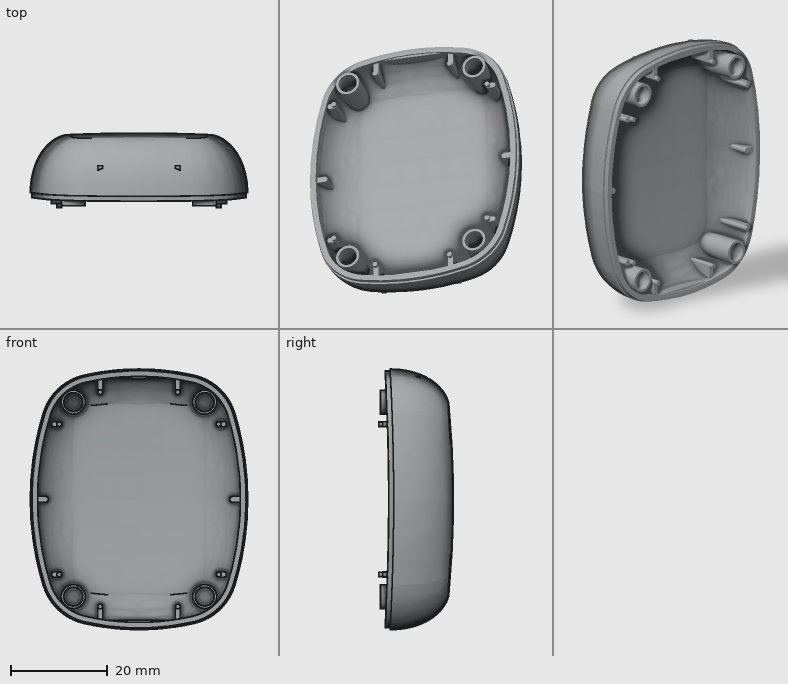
import cadquery as cq
import math


HALF_WIDTH = 44.86 / 2
HALF_HEIGHT = 53.77 / 2
SIDE_RADIUS = 60.0
END_RADIUS = 50.5
CORNER_RADIUS = 11.6

OUTER_SHOULDER_WIDTH = 8.5
INNER_SHOULDER_WIDTH = 9.6
CROWN_OVERLAP = 0.03
CORE_OVERLAP = 0.3
WALL_FOOT_DEPTH = 12.3
WALL = 1.5
FLOOR = 5.6

CROWN_RADIUS_X = 327.0
CROWN_RADIUS_Z = 207.0

RIM_DEPTH = 12.3
RIM_RADIUS = 480.0
LIP_HEIGHT = 1.05
LIP_STEP = 0.35

PAD_HALF_SPACING = 24.95
PAD_HALF_WIDTH = 6.0
PAD_DROP = 0.4

BOSS_X = 13.55
BOSS_Z = 20.05
BOSS_DIAMETER = 4.95
BOSS_BORE = 3.9
BOSS_END_DEPTH = 15.05

TOTAL_DEPTH = 15.4
SIDE_RIB_Z = 15.5
SIDE_RIB_WIDTH = 1.1
SIDE_RIB_OUTER_X = 18.05
SIDE_PIN_X = 16.45
SIDE_PIN_DIAMETER = 1.0
SIDE_RIB_END_DEPTH = 14.55

END_RIB_X = 8.0
END_RIB_WIDTH = 1.0
END_POST_Z = 22.1
END_POST_DEPTH = 14.0
END_WEB_DEPTH = 13.2

MIDDLE_RIB_WIDTH = 1.2
MIDDLE_RIB_TIP_X = 18.7
MIDDLE_RIB_END_DEPTH = 12.3

ROOT_DEPTH = 6.8

TOOL_DEPTH = 20.0


def at_depth(depth):
    """Workplane in XZ at a depth, extruding towards -Y."""
    return cq.Workplane("XZ", origin=(0, -depth, 0))


def quarter_outline(inset, depth=0):
    """Quarter of the oval rim outline, from its +X tip to its +Z tip, moved inwards by inset."""
    side_radius = SIDE_RADIUS - inset
    end_radius = END_RADIUS - inset
    corner_radius = CORNER_RADIUS - inset
    side_center = HALF_WIDTH - SIDE_RADIUS
    end_center = HALF_HEIGHT - END_RADIUS

    to_side = SIDE_RADIUS - CORNER_RADIUS
    to_end = END_RADIUS - CORNER_RADIUS
    span = math.hypot(side_center, end_center)
    along = (to_side**2 - to_end**2 + span**2) / (2 * span)
    across = math.sqrt(to_side**2 - along**2)
    unit_x = -side_center / span
    unit_z = end_center / span
    corner_x = side_center + along * unit_x - across * unit_z
    corner_z = along * unit_z + across * unit_x

    side_angle = math.atan2(corner_z, corner_x - side_center)
    end_angle = math.atan2(corner_z - end_center, corner_x)

    def on_side(angle):
        return side_center + side_radius * math.cos(angle), side_radius * math.sin(angle)

    def on_corner(angle):
        return corner_x + corner_radius * math.cos(angle), corner_z + corner_radius * math.sin(angle)

    def on_end(angle):
        return end_radius * math.cos(angle), end_center + end_radius * math.sin(angle)

    return (
        at_depth(depth)
        .moveTo(HALF_WIDTH - inset, 0)
        .threePointArc(on_side(side_angle / 2), on_side(side_angle))
        .threePointArc(on_corner((side_angle + end_angle) / 2), on_corner(end_angle))
        .threePointArc(on_end((end_angle + math.pi / 2) / 2), (0, HALF_HEIGHT - inset))
    )


def mirrored(feature):
    """Copies of a feature in all four quarters of the part."""
    pair = feature.union(feature.mirror("YZ"))
    return pair.union(pair.mirror("XY"))


def quarter_column(inset):
    """Quarter of a straight oval column covering the whole depth."""
    return quarter_outline(inset).lineTo(0, 0).close().extrude(TOOL_DEPTH)


def crown_sag(radius, distance):
    """Drop of a circular arc at a distance from its apex."""
    return radius - math.sqrt(radius**2 - distance**2)


def shoulder_section(plane, shoulder_width, inset, drop, shift):
    """Wall section with an elliptical shoulder, on a plane whose origin is at the shoulder's inner foot."""
    width = shoulder_width - inset
    side_sag = crown_sag(CROWN_RADIUS_X, HALF_WIDTH - shoulder_width)
    height = WALL_FOOT_DEPTH - side_sag - drop + CROWN_OVERLAP
    skirt = TOOL_DEPTH - WALL_FOOT_DEPTH
    return (
        plane.moveTo(0, -skirt)
        .lineTo(width, -skirt)
        .lineTo(width, -shift)
        .ellipseArc(width, height, 0, 90, startAtCurrent=True)
        .close()
    )


def dome(shoulder_width, inset, drop):
    """Solid oval dome with an elliptical shoulder, its wall inset and its crown dropped from the outside."""
    side_foot = HALF_WIDTH - shoulder_width
    end_foot = HALF_HEIGHT - shoulder_width
    end_shift = crown_sag(CROWN_RADIUS_Z, end_foot) - crown_sag(CROWN_RADIUS_X, side_foot)
    side_plane = cq.Workplane("XY", origin=(side_foot, -WALL_FOOT_DEPTH, 0))
    end_plane = cq.Workplane(cq.Plane((0, -WALL_FOOT_DEPTH, end_foot), (0, 0, 1), (-1, 0, 0)))
    side_section = shoulder_section(side_plane, shoulder_width, inset, drop, 0).val()
    end_section = shoulder_section(end_plane, shoulder_width, inset, drop, end_shift).val()
    path = quarter_outline(inset, WALL_FOOT_DEPTH)
    sections = cq.Workplane("XY").newObject([side_section, end_section])
    sections.ctx.pendingWires = [side_section, end_section]
    ring = sections.sweep(path, multisection=True)
    core = quarter_column(shoulder_width - CORE_OVERLAP)
    return mirrored(ring.union(core).intersect(crown_barrel(drop)))


def crown_barrel(drop):
    """Barrel whose skin is the crown surface, moved inwards by drop."""
    half_length = 2 * HALF_WIDTH
    sag = crown_sag(CROWN_RADIUS_X, half_length)
    return (
        cq.Workplane("XY")
        .moveTo(-half_length, -drop - sag)
        .threePointArc((0, -drop), (half_length, -drop - sag))
        .lineTo(half_length, -CROWN_RADIUS_Z)
        .lineTo(-half_length, -CROWN_RADIUS_Z)
        .close()
        .revolve(360, (-half_length, -CROWN_RADIUS_Z), (half_length, -CROWN_RADIUS_Z))
    )


def long_cylinder(depth, radius):
    """Cylinder along X, wider than the part, whose skin comes up to a depth."""
    return (
        cq.Workplane("YZ", origin=(0, -depth - radius, 0))
        .circle(radius)
        .extrude(2 * HALF_WIDTH, both=True)
    )


def beyond_rim(offset):
    """Space lying more than offset beyond the curved rim face."""
    return long_cylinder(RIM_DEPTH + offset, RIM_RADIUS - offset)


def shell():
    """Cup with a stepped lip on its rim and a flat pad inside each end wall."""
    body = outer.cut(beyond_rim(0))
    lip = outer.intersect(mirrored(quarter_column(LIP_STEP))).cut(beyond_rim(LIP_HEIGHT))
    pads = (
        cq.Workplane("XZ")
        .pushPoints([(0, HALF_HEIGHT), (0, -HALF_HEIGHT)])
        .rect(2 * PAD_HALF_WIDTH, 2 * (HALF_HEIGHT - PAD_HALF_SPACING))
        .extrude(TOOL_DEPTH)
        .cut(beyond_rim(LIP_HEIGHT - PAD_DROP))
    )
    return body.union(lip).cut(cavity.cut(pads))


def column(sketch, end_depth):
    """Column from its root inside the shell to an end depth."""
    return sketch.extrude(end_depth - ROOT_DEPTH)


def root_at(x, z):
    """Sketch plane at the feature roots, centred on a point."""
    return at_depth(ROOT_DEPTH).center(x, z)


def boss():
    """Post standing on the inside of one corner."""
    return column(root_at(BOSS_X, BOSS_Z).circle(BOSS_DIAMETER / 2), BOSS_END_DEPTH)


def boss_bore():
    """Bore of one boss, reaching down to the inside of the shell."""
    bore = at_depth(0).center(BOSS_X, BOSS_Z).circle(BOSS_BORE / 2).extrude(TOOL_DEPTH)
    return bore.intersect(cavity)


def side_rib():
    """Slot-shaped rib with a locating pin at its inner edge."""
    inner_x = SIDE_PIN_X - SIDE_PIN_DIAMETER / 2
    length = SIDE_RIB_OUTER_X - inner_x
    rib = root_at(inner_x + length / 2, SIDE_RIB_Z).slot2D(length, SIDE_RIB_WIDTH)
    pin = root_at(SIDE_PIN_X, SIDE_RIB_Z).circle(SIDE_PIN_DIAMETER / 2)
    return column(rib, SIDE_RIB_END_DEPTH).union(column(pin, TOTAL_DEPTH))


def end_rib():
    """Web joined to an end wall, with a longer round post on its inner edge."""
    web_length = HALF_HEIGHT - WALL - END_POST_Z
    web = root_at(END_RIB_X, END_POST_Z + web_length / 2).rect(END_RIB_WIDTH, web_length)
    post = root_at(END_RIB_X, END_POST_Z).circle(END_RIB_WIDTH / 2)
    return column(web, END_WEB_DEPTH).union(column(post, END_POST_DEPTH))


def middle_ribs():
    """One rib with a rounded tip at the middle of each long side."""
    round_x = MIDDLE_RIB_TIP_X + MIDDLE_RIB_WIDTH / 2
    length = HALF_WIDTH - WALL - round_x
    web = root_at(round_x + length / 2, 0).rect(length, MIDDLE_RIB_WIDTH)
    tip = root_at(round_x, 0).circle(MIDDLE_RIB_WIDTH / 2)
    rib = column(web, MIDDLE_RIB_END_DEPTH).union(column(tip, MIDDLE_RIB_END_DEPTH))
    return rib.union(rib.mirror("YZ"))


outer = dome(OUTER_SHOULDER_WIDTH, 0, 0)
cavity = dome(INNER_SHOULDER_WIDTH, WALL, FLOOR)

result = (
    shell()
    .union(mirrored(boss()))
    .union(mirrored(side_rib()))
    .union(mirrored(end_rib()))
    .union(middle_ribs())
    .cut(mirrored(boss_bore()))
)